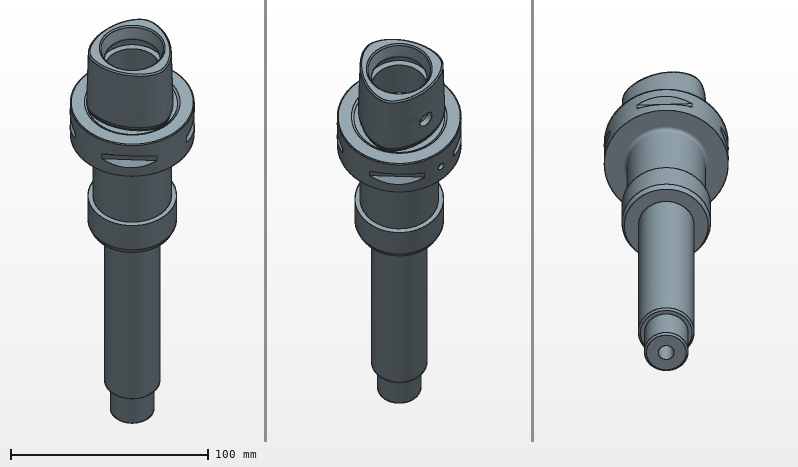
import cadquery as cq
import math


shank_length = 38.0
shank_mean_radius = 22.0
lobe_height = 1.5
lobe_count = 3
shank_slope = 1 / 40
shank_chamfer = 0.8
relief_height = 2.0
relief_depth = 0.8
points_per_face = 7

flange_radius = 31.45
flange_thickness = 22.0
flange_chamfer = 0.5
groove_count = 4
groove_floor_distance = 28.18
groove_floor_height = 3.3
groove_flank_rise = 2.5
groove_height = -12.0
face_recess_outer_radius = 24.3
face_recess_inner_radius = 23.0
face_recess_depth = 0.8

bar_length = 214.8
neck_radius = 20.0
neck_fillet = 1.8
collar_radius = 22.5
collar_top = -65.0
collar_bottom = -85.0
collar_chamfer_width = 1.3
collar_chamfer_height = 3.0
rod_radius = 14.2
rod_bottom = -194.8
rod_chamfer = 1.0
tip_radius = 11.0
tip_chamfer = 1.0

mouth_diameter = 31.8
mouth_chamfer_diameter = 33.4
bore_diameter = 28.0
mouth_cone_depth = 6.5
clamp_groove_diameter = 34.0
clamp_groove_top_depth = 7.3
clamp_groove_bottom_depth = 14.0
bore_depth = 35.5
socket_diameter = 18.0
socket_chamfer = 1.0
socket_depth = 50.5
coolant_diameter = 8.0
coolant_countersink_diameter = 10.5

shank_hole_diameter = 8.3
shank_hole_height = 15.5
shank_hole_bottom_distance = 17.0
pin_hole_diameter = 4.0
pin_hole_bottom_distance = 29.0
drill_point_angle = 118


def lobed_point(angle, mean_radius):
    """Point of the constant-width outline whose normal lies at the given angle."""
    support = mean_radius + lobe_height * math.cos(lobe_count * angle)
    slide = -lobe_count * lobe_height * math.sin(lobe_count * angle)
    x = support * math.cos(angle) - slide * math.sin(angle)
    y = support * math.sin(angle) + slide * math.cos(angle)
    return x, y


def lobed_wire(z, mean_radius):
    """Closed outline of alternating lobes and flanks, the first lobe on +X."""
    face_angle = math.pi / lobe_count
    edges = []
    for face in range(2 * lobe_count):
        start = (face - 0.5) * face_angle
        points = []
        for step in range(points_per_face):
            angle = start + face_angle * step / (points_per_face - 1)
            points.append(cq.Vector(*lobed_point(angle, mean_radius), z))
        edges.append(cq.Edge.makeSpline(points))
    return cq.Wire.assembleEdges(edges)


def make_shank():
    """Tapered shank with a chamfered end and an undercut at its foot."""
    def taper_radius(z):
        return shank_mean_radius - shank_slope * z

    chamfer_z = shank_length - shank_chamfer
    foot_radius = taper_radius(0) - relief_depth
    sections = [
        (-face_recess_depth, foot_radius),
        (0, foot_radius),
        (relief_height, taper_radius(relief_height)),
        (chamfer_z, taper_radius(chamfer_z)),
        (shank_length, taper_radius(shank_length) - shank_chamfer),
    ]
    wires = [lobed_wire(z, radius) for z, radius in sections]
    return cq.Workplane(cq.Solid.makeLoft(wires, True))


def make_turned_body():
    """Flange, neck, collar, rod and tip as one turned profile."""
    profile = (
        cq.Workplane("XZ")
        .moveTo(0, -face_recess_depth)
        .lineTo(face_recess_inner_radius, -face_recess_depth)
        .lineTo(face_recess_outer_radius, 0)
        .lineTo(flange_radius - flange_chamfer, 0)
        .lineTo(flange_radius, -flange_chamfer)
        .lineTo(flange_radius, -flange_thickness)
        .lineTo(neck_radius + neck_fillet, -flange_thickness)
        .radiusArc((neck_radius, -flange_thickness - neck_fillet), -neck_fillet)
        .lineTo(neck_radius, collar_top)
        .lineTo(collar_radius, collar_top)
        .lineTo(collar_radius, collar_bottom + collar_chamfer_height)
        .lineTo(collar_radius - collar_chamfer_width, collar_bottom)
        .lineTo(rod_radius, collar_bottom)
        .lineTo(rod_radius, rod_bottom + rod_chamfer)
        .lineTo(rod_radius - rod_chamfer, rod_bottom)
        .lineTo(tip_radius, rod_bottom)
        .lineTo(tip_radius, -bar_length + tip_chamfer)
        .lineTo(tip_radius - tip_chamfer, -bar_length)
        .lineTo(0, -bar_length)
        .close()
    )
    return profile.revolve(360, (0, 0, 0), (0, 1, 0))


def make_bore():
    """Conical mouth, clamping groove, socket and coolant hole through the bar."""
    mouth_radius = mouth_diameter / 2
    mouth_chamfer = mouth_chamfer_diameter / 2 - mouth_radius
    bore_radius = bore_diameter / 2
    groove_radius = clamp_groove_diameter / 2
    socket_radius = socket_diameter / 2
    coolant_radius = coolant_diameter / 2
    countersink_radius = coolant_countersink_diameter / 2
    countersink_depth = countersink_radius - coolant_radius
    stations = [
        (0, 0),
        (mouth_radius + mouth_chamfer, 0),
        (mouth_radius, mouth_chamfer),
        (bore_radius, mouth_cone_depth),
        (bore_radius, clamp_groove_top_depth),
        (groove_radius, clamp_groove_top_depth),
        (groove_radius, clamp_groove_bottom_depth),
        (bore_radius, clamp_groove_bottom_depth),
        (bore_radius, bore_depth),
        (socket_radius + socket_chamfer, bore_depth),
        (socket_radius, bore_depth + socket_chamfer),
        (socket_radius, socket_depth),
        (countersink_radius, socket_depth),
        (coolant_radius, socket_depth + countersink_depth),
        (coolant_radius, shank_length + bar_length),
        (0, shank_length + bar_length),
    ]
    points = [(radius, shank_length - depth) for radius, depth in stations]
    return cq.Workplane("XZ").polyline(points).close().revolve(360, (0, 0, 0), (0, 1, 0))


def make_gripper_groove(angle):
    """Straight groove with flaring flanks, cut across the flange rim."""
    half_floor = groove_floor_height / 2
    half_mouth = half_floor + groove_flank_rise
    section = [
        (groove_floor_distance, -half_floor),
        (flange_radius, -half_mouth),
        (flange_radius, half_mouth),
        (groove_floor_distance, half_floor),
    ]
    groove = cq.Workplane("XZ").polyline(section).close().extrude(flange_radius, both=True)
    return groove.translate((0, 0, groove_height)).rotate((0, 0, 0), (0, 0, 1), angle)


def make_side_hole(diameter, z, bottom_distance):
    """Blind hole entering from -X, with a conical bottom."""
    radius = diameter / 2
    point_length = radius / math.tan(math.radians(drill_point_angle / 2))
    profile = (
        cq.Workplane("XY")
        .moveTo(-flange_radius, 0)
        .lineTo(-flange_radius, radius)
        .lineTo(-bottom_distance, radius)
        .lineTo(-bottom_distance + point_length, 0)
        .close()
    )
    return profile.revolve(360, (0, 0, 0), (1, 0, 0)).translate((0, 0, z))


result = make_turned_body().union(make_shank()).cut(make_bore())

for index in range(groove_count):
    result = result.cut(make_gripper_groove(360 / groove_count * (index + 0.5)))

shank_hole = make_side_hole(shank_hole_diameter, shank_hole_height, shank_hole_bottom_distance)
pin_hole = make_side_hole(pin_hole_diameter, groove_height, pin_hole_bottom_distance)
result = result.cut(shank_hole).cut(pin_hole)